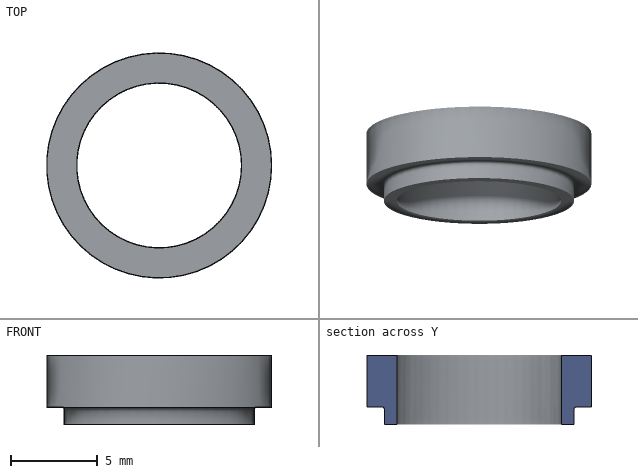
import cadquery as cq

outer_diameter = 13.0
spigot_diameter = 11.0
bore_diameter = 9.5
total_height = 4.0
spigot_height = 1.0
root_fillet_radius = 0.1

body_height = total_height - spigot_height

spigot = cq.Workplane("XY").circle(spigot_diameter / 2).extrude(spigot_height)
body = (
    cq.Workplane("XY")
    .workplane(offset=spigot_height)
    .circle(outer_diameter / 2)
    .extrude(body_height)
)
stepped_ring = spigot.union(body)

root_edge = cq.selectors.RadiusNthSelector(0)
stepped_ring = (
    stepped_ring.faces("<Z[1]")
    .edges(root_edge)
    .fillet(root_fillet_radius)
)

result = stepped_ring.faces(">Z").workplane().circle(bore_diameter / 2).cutThruAll()